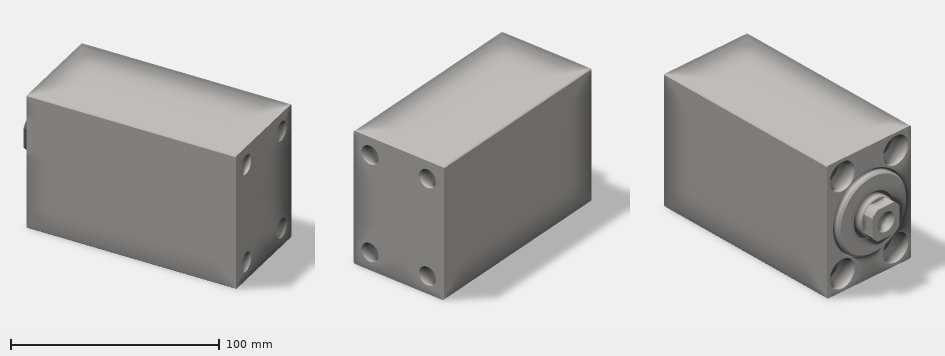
import cadquery as cq
import math

TOTAL_LENGTH = 127.0
HOUSING_WIDTH = 55.0
HOUSING_HEIGHT = 75.0

SHOULDER_X = 6.0
GLAND_FRONT_X = 9.0
HOUSING_FRONT_X = 12.1
GLAND_INSERTION = 15.2
GLAND_BACK_X = HOUSING_FRONT_X + GLAND_INSERTION

HOUSING_LENGTH = TOTAL_LENGTH - HOUSING_FRONT_X
HOUSING_EDGE_CHAMFER = 0.5
BORE_MOUTH_CHAMFER = 1.0

HOLE_SPACING_Y = 35.0
HOLE_SPACING_Z = 55.0
HOLE_DIAMETER = 10.4
COUNTERBORE_DIAMETER = 16.5
COUNTERBORE_DEPTH = 11.0

GLAND_DIAMETER = 45.0
GLAND_CHAMFER = 1.0
ROD_RECESS_DIAMETER = 25.5
ROD_RECESS_DEPTH = 1.5

ROD_DIAMETER = 22.1
ROD_CHAMFER = 0.5
ROD_HEAD_DIAMETER = 20.8
HEAD_ACROSS_FLATS = 17.9
TIP_HOLE_DIAMETER = 10.7
TIP_HOLE_DEPTH = 20.3
TIP_HOLE_CONE_ANGLE = 118.0
TIP_HOLE_CHAMFER = 0.3


def plane_at(x):
    """Plane normal to the cylinder axis; its local axes are Y and Z."""
    return cq.Workplane("YZ", origin=(x, 0, 0))


def make_housing():
    """Rectangular block with a gland bore and four counterbored through holes."""
    block = plane_at(HOUSING_FRONT_X).rect(HOUSING_WIDTH, HOUSING_HEIGHT).extrude(HOUSING_LENGTH)
    block = block.edges("|X").chamfer(HOUSING_EDGE_CHAMFER)

    bore = plane_at(HOUSING_FRONT_X).circle(GLAND_DIAMETER / 2).extrude(GLAND_INSERTION)
    mouth_radius = GLAND_DIAMETER / 2 + BORE_MOUTH_CHAMFER
    bore_mouth = cq.Workplane(
        cq.Solid.makeCone(
            mouth_radius,
            GLAND_DIAMETER / 2,
            BORE_MOUTH_CHAMFER,
            pnt=cq.Vector(HOUSING_FRONT_X, 0, 0),
            dir=cq.Vector(1, 0, 0),
        )
    )

    hole_pattern = plane_at(HOUSING_FRONT_X).rect(HOLE_SPACING_Y, HOLE_SPACING_Z, forConstruction=True)
    hole_centres = hole_pattern.vertices()
    through_holes = hole_centres.circle(HOLE_DIAMETER / 2).extrude(HOUSING_LENGTH)
    counterbores = hole_centres.circle(COUNTERBORE_DIAMETER / 2).extrude(COUNTERBORE_DEPTH)

    return block.cut(bore).cut(bore_mouth).cut(through_holes).cut(counterbores)


def make_gland():
    """Round plug that closes the bore and guides the rod."""
    gland_length = GLAND_BACK_X - GLAND_FRONT_X
    gland = plane_at(GLAND_FRONT_X).circle(GLAND_DIAMETER / 2).extrude(gland_length)
    gland = gland.faces("<X").chamfer(GLAND_CHAMFER)
    rod_hole = plane_at(GLAND_FRONT_X).circle(ROD_DIAMETER / 2).extrude(gland_length)
    recess = plane_at(GLAND_FRONT_X).circle(ROD_RECESS_DIAMETER / 2).extrude(ROD_RECESS_DEPTH)
    return gland.cut(rod_hole).cut(recess)


def make_piston_rod():
    """Round rod with a four-flat wrench head and a drilled hole in its tip."""
    shank = plane_at(SHOULDER_X).circle(ROD_DIAMETER / 2).extrude(GLAND_BACK_X - SHOULDER_X)
    shank = shank.faces("<X").chamfer(ROD_CHAMFER)

    flats = plane_at(0).rect(HEAD_ACROSS_FLATS, HEAD_ACROSS_FLATS).extrude(SHOULDER_X)
    head = plane_at(0).circle(ROD_HEAD_DIAMETER / 2).extrude(SHOULDER_X).intersect(flats)

    rod = shank.union(head)
    return rod.cut(make_tip_hole())


def make_tip_hole():
    """Drill shape revolved about the X axis: chamfered mouth, straight wall and conical bottom."""
    radius = TIP_HOLE_DIAMETER / 2
    cone_depth = radius / math.tan(math.radians(TIP_HOLE_CONE_ANGLE / 2))
    return (
        cq.Workplane("XY")
        .moveTo(0, 0)
        .lineTo(0, radius + TIP_HOLE_CHAMFER)
        .lineTo(TIP_HOLE_CHAMFER, radius)
        .lineTo(TIP_HOLE_DEPTH, radius)
        .lineTo(TIP_HOLE_DEPTH + cone_depth, 0)
        .close()
        .revolve(360, (0, 0, 0), (1, 0, 0))
    )


housing = make_housing()
gland = make_gland()
piston_rod = make_piston_rod()

result = cq.Compound.makeCompound([housing.val(), gland.val(), piston_rod.val()])